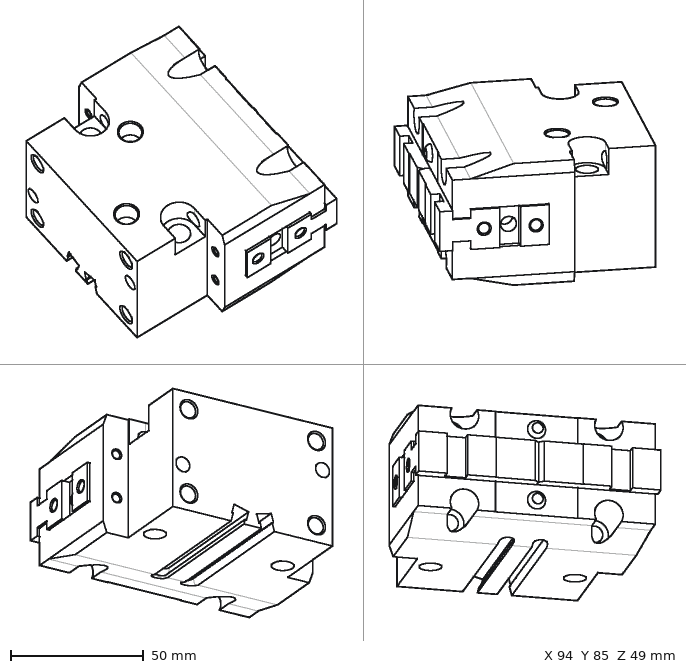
import cadquery as cq
import math


overall_length = 94.0
overall_depth = 85.0
height = 49.0
half_height = height / 2

housing_width = 92.0
housing_half_width = housing_width / 2
housing_depth = 80.0
base_width = 70.0
base_half_width = base_width / 2
shoulder_y = 33.0
taper_start_y = 56.2
side_half_height = 20.0
edge_bevel_x = 1.6
end_relief_width = 32.0
end_relief_depth = 0.3

lip_y = 73.0
jaw_half_height = 8.0
neck_half_height = 4.5
jaw_back_y = 43.0

jaw_relief_half_width = 16.8
jaw_relief_depth = 0.3
jaw_tip_bevel = 1.8
keyway_width = 8.0
keyway_depth = 3.5
end_keyway_x = 32.0
side_keyway_y = 58.0
jaw_screw_offset = 10.0
jaw_screw_diameter = 4.2
jaw_screw_mouth = 5.3
jaw_screw_depth = 12.0
jaw_pin_diameter = 6.0
jaw_pin_depth = 8.0

mount_x = 28.0
mount_z = 17.5
mount_diameter = 6.6
mount_mouth = 7.8
mount_counterbore = 11.0
base_pin_x = 30.6
base_pin_z = 6.0
base_pin_diameter = 6.0
base_pin_depth = 8.0
flange_screw_x = 40.0
flange_screw_z = 9.0
flange_screw_diameter = 3.3
flange_screw_mouth = 4.2
flange_screw_depth = 8.0

pocket_y = 25.0
pocket_radius = 7.05
pocket_depth = 10.4
pocket_hole_diameter = 8.6
port_x = 14.9
rear_port_y = 10.0
front_port_y = 34.0
port_diameter = 8.65
port_mouth = 9.7
port_depth = 8.0
port_feed_diameter = 2.7
port_feed_depth = 5.0
rear_feed_offset = 2.8

slot_tilt = 15.0
slot_mouth_x = 6.7
slot_neck_width = 5.45
slot_neck_height = 2.9
slot_head_width = 6.6
slot_head_height = 3.7
slot_end_y = 58.5

button_z = 14.1
button_base_radius = 3.5
button_top_radius = 2.1
button_bulge_radius = 3.0
button_bulge_height = 1.2
button_top_y = 81.7

drill_point_angle = 118.0


def box(x_range, y_range, z_range):
    """Box between the given limits."""
    size = [high - low for low, high in (x_range, y_range, z_range)]
    corner = cq.Vector(x_range[0], y_range[0], z_range[0])
    return cq.Workplane(cq.Solid.makeBox(*size, corner))


def drilled_hole(mouth_point, direction, diameter, depth, mouth_diameter=None):
    """Cutter for a blind hole with a drill point and, if asked, a 45 degree countersunk mouth."""
    start = cq.Vector(*mouth_point)
    axis = cq.Vector(*direction)
    radius = diameter / 2
    point_height = radius / math.tan(math.radians(drill_point_angle / 2))
    bottom = start + axis * depth
    bore = cq.Workplane(cq.Solid.makeCylinder(radius, depth, start, axis))
    hole = bore.union(cq.Workplane(cq.Solid.makeCone(radius, 0, point_height, bottom, axis)))
    if mouth_diameter:
        mouth_radius = mouth_diameter / 2
        countersink = cq.Solid.makeCone(mouth_radius, radius, mouth_radius - radius, start, axis)
        hole = hole.union(cq.Workplane(countersink))
    return hole


def jaw_profile():
    """Solid with the I-profile of the jaws, over the full length along X."""
    x_range = (-overall_length / 2, overall_length / 2)
    wide_z = (-jaw_half_height, jaw_half_height)
    narrow_z = (-neck_half_height, neck_half_height)
    foot = box(x_range, (jaw_back_y, lip_y), wide_z)
    neck = box(x_range, (lip_y, housing_depth), narrow_z)
    head = box(x_range, (housing_depth, overall_depth), wide_z)
    return foot.union(neck).union(head)


def housing_blank():
    """Outer shape of the housing: tapered towards the jaws, bevelled along the sides, narrow at the base."""
    side_outline = (
        cq.Workplane("YZ", origin=(-housing_half_width, 0, 0))
        .polyline([
            (0, -half_height),
            (taper_start_y, -half_height),
            (lip_y, -side_half_height),
            (housing_depth, -side_half_height),
            (housing_depth, side_half_height),
            (lip_y, side_half_height),
            (taper_start_y, half_height),
            (0, half_height),
        ])
        .close()
        .extrude(housing_width)
    )
    bevel_x = housing_half_width - edge_bevel_x
    wide_part = (
        cq.Workplane("XZ", origin=(0, shoulder_y, 0))
        .polyline([
            (-bevel_x, -half_height),
            (bevel_x, -half_height),
            (housing_half_width, -side_half_height),
            (housing_half_width, side_half_height),
            (bevel_x, half_height),
            (-bevel_x, half_height),
            (-housing_half_width, side_half_height),
            (-housing_half_width, -side_half_height),
        ])
        .close()
        .extrude(shoulder_y - housing_depth)
    )
    base = box((-base_half_width, base_half_width), (0, shoulder_y), (-half_height, half_height))
    return side_outline.intersect(wide_part).union(base)


def mounting_hole(x, z):
    """Through hole along Y, countersunk at the base and counterbored from the jaw end."""
    radius = mount_diameter / 2
    mouth_radius = mount_mouth / 2
    along_y = cq.Vector(0, 1, 0)
    base_point = cq.Vector(x, 0, z)
    seat_point = cq.Vector(x, taper_start_y, z)
    bore = cq.Solid.makeCylinder(radius, housing_depth, base_point, along_y)
    countersink = cq.Solid.makeCone(mouth_radius, radius, mouth_radius - radius, base_point, along_y)
    counterbore = cq.Solid.makeCylinder(
        mount_counterbore / 2, housing_depth - taper_start_y, seat_point, along_y
    )
    return cq.Workplane(bore).union(cq.Workplane(countersink)).union(cq.Workplane(counterbore))


def side_pocket(side):
    """Round-ended pocket open to one side of the base, with a through hole along Z in its floor."""
    x = side * mount_x
    floor_z = half_height - pocket_depth
    outer_x = side * housing_half_width
    round_end = cq.Workplane("XY", origin=(x, pocket_y, floor_z)).circle(pocket_radius).extrude(pocket_depth)
    opening = box(
        (min(x, outer_x), max(x, outer_x)),
        (pocket_y - pocket_radius, pocket_y + pocket_radius),
        (floor_z, half_height),
    )
    through_hole = (
        cq.Workplane("XY", origin=(x, pocket_y, -half_height))
        .circle(pocket_hole_diameter / 2)
        .extrude(height)
    )
    return round_end.union(opening).union(through_hole)


def air_port(x, y, feed_y):
    """Flat-bottomed port in the top with a small feed hole in its floor."""
    down = cq.Vector(0, 0, -1)
    mouth_point = cq.Vector(x, y, half_height)
    radius = port_diameter / 2
    mouth_radius = port_mouth / 2
    bore = cq.Solid.makeCylinder(radius, port_depth, mouth_point, down)
    countersink = cq.Solid.makeCone(mouth_radius, radius, mouth_radius - radius, mouth_point, down)
    feed_point = (x, feed_y, half_height - port_depth)
    feed = drilled_hole(feed_point, (0, 0, -1), port_feed_diameter, port_feed_depth)
    return cq.Workplane(bore).union(cq.Workplane(countersink)).union(feed)


def sensor_slot(side):
    """Round-ended T-slot along Y in the underside, leaning towards the middle plane."""

    def round_ended_groove(width, bottom, top):
        straight = box((-width / 2, width / 2), (0, slot_end_y), (bottom, top))
        end = cq.Workplane("XY", origin=(0, slot_end_y, bottom)).circle(width / 2).extrude(top - bottom)
        return straight.union(end)

    head_top = slot_neck_height + slot_head_height
    neck = round_ended_groove(slot_neck_width, -slot_neck_height, slot_neck_height)
    head = round_ended_groove(slot_head_width, slot_neck_height, head_top)
    slot = neck.union(head).rotate((0, 0, 0), (0, 1, 0), -side * slot_tilt)
    return slot.translate((side * slot_mouth_x, 0, -half_height))


def button_head(z):
    """Domed screw head standing on the relief of a lip."""
    seat_y = housing_depth - end_relief_depth
    return (
        cq.Workplane("XY")
        .moveTo(0, seat_y)
        .lineTo(button_base_radius, seat_y)
        .threePointArc((button_bulge_radius, seat_y + button_bulge_height), (button_top_radius, button_top_y))
        .lineTo(0, button_top_y)
        .close()
        .revolve(360, (0, 0, 0), (0, 1, 0))
        .translate((0, 0, z))
    )


def make_housing():
    """Housing with its jaw channel, pockets, slots, holes and the button heads on its lips."""
    body = housing_blank().cut(jaw_profile())
    body = body.cut(box(
        (-end_relief_width / 2, end_relief_width / 2),
        (housing_depth - end_relief_depth, housing_depth),
        (-half_height, half_height),
    ))
    for side in (-1, 1):
        body = body.cut(side_pocket(side))
        body = body.cut(sensor_slot(side))
        pin_point = (side * base_pin_x, 0, side * base_pin_z)
        body = body.cut(drilled_hole(pin_point, (0, 1, 0), base_pin_diameter, base_pin_depth))
        for level in (-1, 1):
            body = body.cut(mounting_hole(side * mount_x, level * mount_z))
            screw_point = (side * flange_screw_x, shoulder_y, level * flange_screw_z)
            body = body.cut(drilled_hole(
                screw_point, (0, 1, 0), flange_screw_diameter, flange_screw_depth, flange_screw_mouth
            ))
    body = body.cut(air_port(-port_x, front_port_y, front_port_y))
    body = body.cut(air_port(port_x, rear_port_y, rear_port_y - rear_feed_offset))
    for level in (-1, 1):
        body = body.union(button_head(level * button_z))
    return body


def make_jaw(side):
    """One jaw, reaching from the middle plane to the outer end on the given side (-1 or 1)."""
    outer_x = overall_length / 2
    z_range = (-jaw_half_height, jaw_half_height)
    outer_half = box((0, outer_x), (jaw_back_y, overall_depth), z_range)
    jaw = jaw_profile().intersect(outer_half)

    relief_y = overall_depth - jaw_relief_depth
    jaw = jaw.cut(box((0, jaw_relief_half_width), (relief_y, overall_depth), z_range))
    tip_bevel = (
        cq.Workplane("XY", origin=(0, 0, -jaw_half_height))
        .polyline([(0, relief_y - jaw_tip_bevel), (jaw_tip_bevel, relief_y), (0, relief_y)])
        .close()
        .extrude(2 * jaw_half_height)
    )
    jaw = jaw.cut(tip_bevel)

    jaw = jaw.cut(box(
        (end_keyway_x - keyway_width / 2, end_keyway_x + keyway_width / 2),
        (overall_depth - keyway_depth, overall_depth),
        z_range,
    ))
    keyway_floor_x = outer_x - keyway_depth
    jaw = jaw.cut(box(
        (keyway_floor_x, outer_x),
        (side_keyway_y - keyway_width / 2, side_keyway_y + keyway_width / 2),
        z_range,
    ))

    inward = (-1, 0, 0)
    jaw = jaw.cut(drilled_hole((keyway_floor_x, side_keyway_y, 0), inward, jaw_pin_diameter, jaw_pin_depth))
    for offset in (-jaw_screw_offset, jaw_screw_offset):
        screw_point = (outer_x, side_keyway_y + offset, 0)
        jaw = jaw.cut(drilled_hole(screw_point, inward, jaw_screw_diameter, jaw_screw_depth, jaw_screw_mouth))
    return jaw if side > 0 else jaw.mirror("YZ")


housing = make_housing().solids()
jaws = [make_jaw(side).solids() for side in (-1, 1)]

result = cq.Compound.makeCompound([housing.val(), *[jaw.val() for jaw in jaws]])